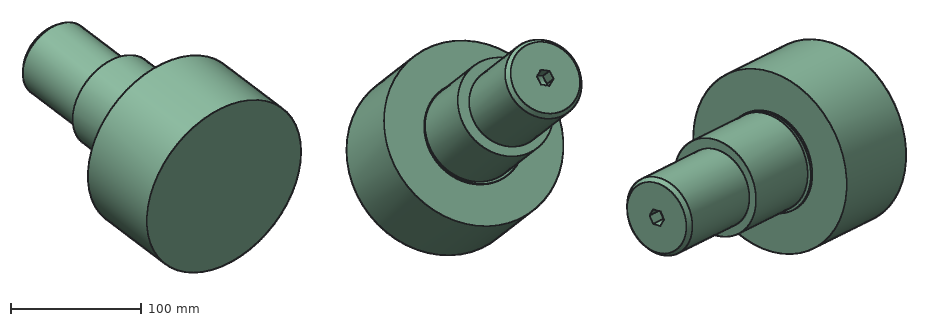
import cadquery as cq
import math

total_length = 216.0
pin_length = 75.0
eccentric_length = 64.5
collar_length = 2.0
collar_start = pin_length + eccentric_length
roller_start = collar_start + collar_length
roller_length = total_length - roller_start

pin_diameter = 64.0
eccentric_diameter = 80.0
collar_diameter = 83.0
roller_diameter = 150.0

eccentric_offset = (collar_diameter - eccentric_diameter) / 2

pin_chamfer_length = 3.7
pin_chamfer_depth = 3.0

socket_across_flats = 12.0
socket_across_corners = socket_across_flats / math.cos(math.radians(30))
socket_depth = 13.0
socket_point_angle = 120.0


def cylinder(start, length, diameter, y_offset=0.0):
    """Solid cylinder along +X, beginning at x = start."""
    return (
        cq.Workplane("YZ", origin=(start, y_offset, 0))
        .circle(diameter / 2)
        .extrude(length)
    )


def chamfered_pin():
    """Pin with its free end bevelled, revolved about X."""
    radius = pin_diameter / 2
    return (
        cq.Workplane("XY")
        .moveTo(0, 0)
        .lineTo(0, radius - pin_chamfer_depth)
        .lineTo(pin_chamfer_length, radius)
        .lineTo(pin_length, radius)
        .lineTo(pin_length, 0)
        .close()
        .revolve(360, (0, 0, 0), (1, 0, 0))
    )


def hex_socket():
    """Hexagonal recess, flats facing +Z and -Z, ending in a drill point."""
    point_radius = socket_across_corners / 2
    point_depth = point_radius / math.tan(math.radians(socket_point_angle / 2))
    prism = (
        cq.Workplane("YZ")
        .polygon(6, socket_across_corners)
        .extrude(socket_depth + point_depth)
    )
    pointed_bar = (
        cq.Workplane("XY")
        .moveTo(0, 0)
        .lineTo(0, point_radius)
        .lineTo(socket_depth, point_radius)
        .lineTo(socket_depth + point_depth, 0)
        .close()
        .revolve(360, (0, 0, 0), (1, 0, 0))
    )
    return prism.intersect(pointed_bar)


eccentric = cylinder(pin_length, eccentric_length, eccentric_diameter, eccentric_offset)
collar = cylinder(collar_start, collar_length, collar_diameter)
roller = cylinder(roller_start, roller_length, roller_diameter)

result = chamfered_pin().union(eccentric).union(collar).union(roller).cut(hex_socket())